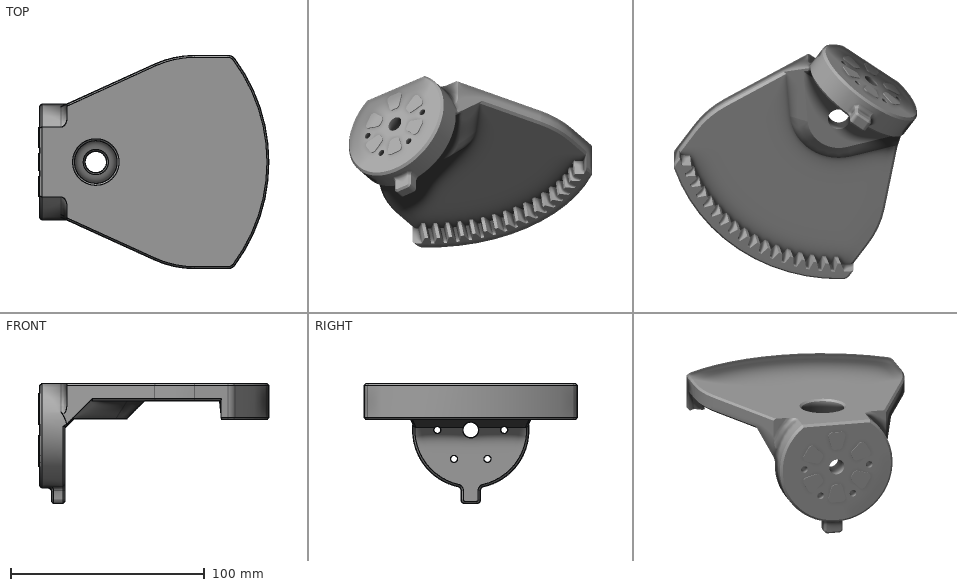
import cadquery as cq
import math

DISC_RADIUS = 30
DISC_THICKNESS = 13.2
EDGE_CHAMFER = 1.2
BORE_DIAMETER = 8
SCREW_DIAMETER = 3.5
SCREW_CIRCLE_RADIUS = 17.25
SCREW_ANGLES = (0, 180, 240, 300)

PAD_COUNT = 6
PAD_HEIGHT = 0.5
PAD_INNER = 9.5
PAD_OUTER = 18.9
PAD_HALF_ANGLE = 15
PAD_CORNER_RADIUS = 2

TAB_WIDTH = 10
TAB_BOTTOM = -38
TAB_TOP = -DISC_RADIUS / 2
TAB_FRONT = 6.2
TAB_CORNER_RADIUS = 2
TAB_CHAMFER = 1
TAB_ROOT_RADIUS = 2

TOP = 24
PLATE_THICKNESS = 9
PLATE_BOTTOM = TOP - PLATE_THICKNESS
JOIN_HEIGHT = PLATE_BOTTOM + EDGE_CHAMFER
PLATE_HALF_WIDTH = 55
TAPER_ANGLE = math.radians(24.5)
SHOULDER_RADIUS = 50
SHOULDER_END = 80
PLATE_END = 118.25
PLATE_START = 11
TIP_CORNER_RADIUS = 4.5
TOP_CHAMFER = 1

RELIEF_RADIUS = 3.2
RELIEF_END = PLATE_START + RELIEF_RADIUS

PIVOT_X = 29
PIVOT_DIAMETER = 11
COUNTERBORE_DIAMETER = 22
COUNTERBORE_DEPTH = 8
HOLE_CHAMFER = 1

BOSS_BOTTOM = 5.75
BOSS_RADIUS = 16
BOSS_TANGENT_ANGLE = math.radians(50)
BOSS_BACK = 8
BOSS_SLOPE = 45
WEB_DROP = 4.6

RIM_BOTTOM = 5.3
RIM_CHAMFER = 1
MODULE = 2
GEAR_TEETH = 81
ADDENDUM = MODULE
DEDENDUM = 1.25 * MODULE
PRESSURE_ANGLE = math.radians(20)
HELIX_ANGLE = math.radians(10)
TRANSVERSE_MODULE = MODULE / math.cos(HELIX_ANGLE)
PITCH_RADIUS = TRANSVERSE_MODULE * GEAR_TEETH / 2
TOOTH_TIP_RADIUS = PITCH_RADIUS - ADDENDUM
ROOT_RADIUS = PITCH_RADIUS + DEDENDUM
TEETH_EACH_SIDE = 8

OVERLAP = 0.5
CLEARANCE = 100


def disc_with_tab():
    """Disc cut flat at the top, with the filleted tab at its lowest point."""
    flat_half = math.sqrt(DISC_RADIUS**2 - TOP**2)
    body = (
        cq.Workplane("YZ")
        .moveTo(flat_half, TOP)
        .threePointArc((0, -DISC_RADIUS), (-flat_half, TOP))
        .close()
        .extrude(DISC_THICKNESS)
        .faces("<X")
        .edges()
        .chamfer(EDGE_CHAMFER)
    )
    block = (
        cq.Workplane("YZ", origin=(TAB_FRONT, 0, 0))
        .center(0, (TAB_TOP + TAB_BOTTOM) / 2)
        .rect(TAB_WIDTH, TAB_TOP - TAB_BOTTOM)
        .extrude(DISC_THICKNESS - TAB_FRONT)
        .edges("|X and <Z")
        .fillet(TAB_CORNER_RADIUS)
        .faces("<X")
        .edges()
        .chamfer(TAB_CHAMFER)
    )
    side_root_z = -math.sqrt(DISC_RADIUS**2 - (TAB_WIDTH / 2) ** 2)
    root_edges = cq.selectors.BoxSelector(
        (TAB_FRONT - OVERLAP, -TAB_WIDTH / 2 - OVERLAP, -DISC_RADIUS - OVERLAP),
        (DISC_THICKNESS - OVERLAP, TAB_WIDTH / 2 + OVERLAP, side_root_z + OVERLAP),
    )
    return (
        body.union(block)
        .edges(root_edges)
        .fillet(TAB_ROOT_RADIUS)
        .faces(">X")
        .edges()
        .chamfer(EDGE_CHAMFER)
    )


def pads():
    slope = math.tan(math.radians(PAD_HALF_ANGLE))
    inner_half = PAD_INNER * slope
    outer_half = PAD_OUTER * slope
    pad = (
        cq.Workplane("YZ", origin=(-PAD_HEIGHT, 0, 0))
        .polyline([
            (-inner_half, PAD_INNER),
            (inner_half, PAD_INNER),
            (outer_half, PAD_OUTER),
            (-outer_half, PAD_OUTER),
        ])
        .close()
        .extrude(PAD_HEIGHT + OVERLAP)
        .edges("|X")
        .fillet(PAD_CORNER_RADIUS)
    )
    ring = cq.Workplane("YZ")
    for index in range(PAD_COUNT):
        ring = ring.add(pad.rotate((0, 0, 0), (1, 0, 0), index * 360 / PAD_COUNT))
    return ring.combine()


def plate_prism(bottom, top):
    """Full plate outline between two heights."""
    shoulder_y = PLATE_HALF_WIDTH - SHOULDER_RADIUS
    shoulder_start = (
        SHOULDER_END - SHOULDER_RADIUS * math.sin(TAPER_ANGLE),
        shoulder_y + SHOULDER_RADIUS * math.cos(TAPER_ANGLE),
    )
    shoulder_middle = (
        SHOULDER_END - SHOULDER_RADIUS * math.sin(TAPER_ANGLE / 2),
        shoulder_y + SHOULDER_RADIUS * math.cos(TAPER_ANGLE / 2),
    )
    start_y = shoulder_start[1] - (shoulder_start[0] - PLATE_START) * math.tan(TAPER_ANGLE)
    end_radius = PLATE_END - PIVOT_X
    tip_x = PIVOT_X + math.sqrt(end_radius**2 - PLATE_HALF_WIDTH**2)

    def mirrored(point):
        return (point[0], -point[1])

    return (
        cq.Workplane("XY", origin=(0, 0, bottom))
        .moveTo(PLATE_START, start_y)
        .lineTo(*shoulder_start)
        .threePointArc(shoulder_middle, (SHOULDER_END, PLATE_HALF_WIDTH))
        .lineTo(tip_x, PLATE_HALF_WIDTH)
        .threePointArc((PLATE_END, 0), (tip_x, -PLATE_HALF_WIDTH))
        .lineTo(SHOULDER_END, -PLATE_HALF_WIDTH)
        .threePointArc(mirrored(shoulder_middle), mirrored(shoulder_start))
        .lineTo(PLATE_START, -start_y)
        .close()
        .extrude(top - bottom)
        .edges("|Z")
        .edges(">X")
        .fillet(TIP_CORNER_RADIUS)
    )


def plate():
    return (
        plate_prism(PLATE_BOTTOM, TOP)
        .faces(">Z")
        .edges("not <X")
        .chamfer(TOP_CHAMFER)
        .faces("<Z")
        .edges("not <X")
        .chamfer(EDGE_CHAMFER)
    )


def boss():
    """Sloping boss, and the web below it that runs down to the back of the disc at 45 degrees."""
    web_bottom = BOSS_BOTTOM - WEB_DROP
    bottom_radius = BOSS_RADIUS - WEB_DROP
    tangent_x = PIVOT_X + bottom_radius * math.cos(BOSS_TANGENT_ANGLE)
    tangent_y = bottom_radius * math.sin(BOSS_TANGENT_ANGLE)
    back_y = tangent_y + (tangent_x - BOSS_BACK) / math.tan(BOSS_TANGENT_ANGLE)
    cone = (
        cq.Workplane("XY", origin=(0, 0, web_bottom))
        .moveTo(BOSS_BACK, back_y)
        .lineTo(tangent_x, tangent_y)
        .threePointArc((PIVOT_X + bottom_radius, 0), (tangent_x, -tangent_y))
        .lineTo(BOSS_BACK, -back_y)
        .close()
        .extrude(JOIN_HEIGHT - web_bottom, taper=-BOSS_SLOPE)
    )
    profile = (
        cq.Workplane("XZ", origin=(0, CLEARANCE, 0))
        .polyline([
            (PLATE_START, JOIN_HEIGHT),
            (PLATE_START, web_bottom),
            (DISC_THICKNESS, web_bottom),
            (DISC_THICKNESS + WEB_DROP, BOSS_BOTTOM),
            (PLATE_END, BOSS_BOTTOM),
            (PLATE_END, JOIN_HEIGHT),
        ])
        .close()
        .extrude(2 * CLEARANCE)
    )
    disc_extension = (
        cq.Workplane("YZ", origin=(PLATE_START, 0, 0))
        .circle(DISC_RADIUS)
        .extrude(RELIEF_RADIUS)
        .intersect(cone)
    )
    return cone.intersect(plate_prism(web_bottom, JOIN_HEIGHT)).union(disc_extension).intersect(profile)


def rim():
    inside = cq.Workplane("XY", origin=(PIVOT_X, 0, 0)).circle(ROOT_RADIUS).extrude(TOP)
    return (
        plate_prism(RIM_BOTTOM, JOIN_HEIGHT)
        .faces("<Z")
        .edges("not <X")
        .chamfer(RIM_CHAMFER)
        .cut(inside)
    )


def teeth():
    """Row of helical teeth on the inner side of the rim, with straight flanks."""
    height = PLATE_BOTTOM + OVERLAP - RIM_BOTTOM
    half_width = math.pi * TRANSVERSE_MODULE / 4
    tip_half = half_width - ADDENDUM * math.tan(PRESSURE_ANGLE)
    outer_radius = ROOT_RADIUS + OVERLAP
    root_half = half_width + (outer_radius - PITCH_RADIUS) * math.tan(PRESSURE_ANGLE)
    twist = math.degrees(height * math.tan(HELIX_ANGLE) / PITCH_RADIUS)
    tooth = (
        cq.Workplane("XY")
        .polyline([
            (TOOTH_TIP_RADIUS, -tip_half),
            (outer_radius, -root_half),
            (outer_radius, root_half),
            (TOOTH_TIP_RADIUS, tip_half),
        ])
        .close()
        .twistExtrude(height, twist)
        .translate((PIVOT_X, 0, RIM_BOTTOM))
    )
    row = cq.Workplane("XY")
    for index in range(-TEETH_EACH_SIDE, TEETH_EACH_SIDE + 1):
        row = row.add(tooth.rotate((PIVOT_X, 0, 0), (PIVOT_X, 0, 1), index * 360 / GEAR_TEETH))
    return row.combine()


def relief():
    """Ring around the disc, with a concave corner, that is cut from the plate."""
    arc_offset = RELIEF_RADIUS * math.sqrt(0.5)
    corner_r = DISC_RADIUS + RELIEF_RADIUS
    return (
        cq.Workplane("XY")
        .moveTo(0, DISC_RADIUS)
        .lineTo(PLATE_START, DISC_RADIUS)
        .threePointArc(
            (PLATE_START + arc_offset, corner_r - arc_offset),
            (RELIEF_END, corner_r),
        )
        .lineTo(RELIEF_END, CLEARANCE)
        .lineTo(0, CLEARANCE)
        .close()
        .revolve(360, (0, 0, 0), (1, 0, 0))
    )


def pivot_hole():
    seat = TOP - COUNTERBORE_DEPTH
    bore_r = PIVOT_DIAMETER / 2
    counterbore_r = COUNTERBORE_DIAMETER / 2
    return (
        cq.Workplane("XZ", origin=(PIVOT_X, 0, 0))
        .polyline([
            (0, 0),
            (bore_r, 0),
            (bore_r, seat - HOLE_CHAMFER),
            (bore_r + HOLE_CHAMFER, seat),
            (counterbore_r, seat),
            (counterbore_r, TOP - HOLE_CHAMFER),
            (counterbore_r + HOLE_CHAMFER, TOP),
            (0, TOP),
        ])
        .close()
        .revolve(360, (0, 0, 0), (0, 1, 0))
    )


def disc_holes():
    holes = cq.Workplane("YZ").circle(BORE_DIAMETER / 2).extrude(CLEARANCE)
    for angle in SCREW_ANGLES:
        y = SCREW_CIRCLE_RADIUS * math.cos(math.radians(angle))
        z = SCREW_CIRCLE_RADIUS * math.sin(math.radians(angle))
        holes = holes.union(
            cq.Workplane("YZ").center(y, z).circle(SCREW_DIAMETER / 2).extrude(CLEARANCE)
        )
    return holes


arm = plate().union(boss()).union(rim()).union(teeth()).cut(relief())
body = arm.union(disc_with_tab()).union(pads())
result = body.cut(pivot_hole()).cut(disc_holes())